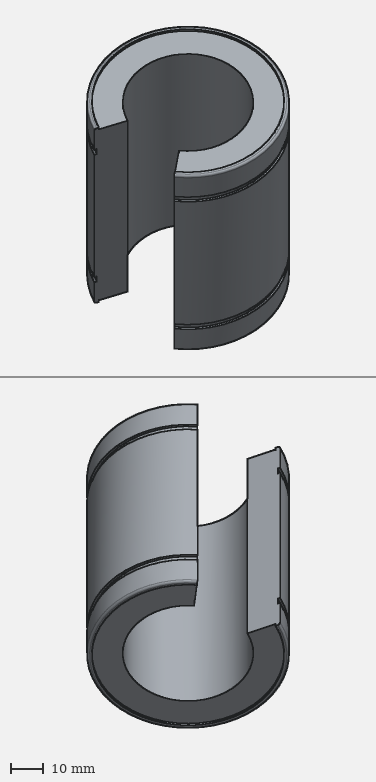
import cadquery as cq

outer_radius = 31.0
bore_radius = 20.0
length = 80.0
opening_angle = 60.0

groove_span = 60.6
groove_width = 2.15
groove_depth = 0.775

rim_fillet = 0.775
rim_width = 2 * rim_fillet
recess_depth = 0.8

half_length = length / 2
groove_radius = outer_radius - groove_depth
groove_offset = (groove_span - groove_width) / 2
recess_radius = outer_radius - rim_width
sleeve_angle = 360.0 - opening_angle
sleeve_start_angle = -90.0 + opening_angle / 2
sector_radius = 2 * outer_radius


def make_tube():
    """Plain closed tube with rounded outer rims."""
    cylinder = cq.Workplane("XY").circle(outer_radius).extrude(half_length, both=True)
    rounded = cylinder.faces("<Z or >Z").edges().fillet(rim_fillet)
    bore = cq.Workplane("XY").circle(bore_radius).extrude(half_length, both=True)
    return rounded.cut(bore)


def make_groove(middle_z):
    """Ring of material to remove for one retaining ring groove."""
    ring = cq.Workplane("XY").circle(outer_radius).circle(groove_radius)
    return ring.extrude(groove_width / 2, both=True).translate((0, 0, middle_z))


def make_end_recess(side):
    """Disc to remove from the upper (side = 1) or lower (side = -1) end face."""
    disc = cq.Workplane("XY").circle(recess_radius).extrude(recess_depth, both=True)
    return disc.translate((0, 0, side * half_length))


def make_sector():
    """Pie-shaped envelope, wider than the sleeve, that omits the opening."""
    half_section = cq.Workplane("XZ").rect(sector_radius, length, centered=(False, True))
    sector = half_section.revolve(sleeve_angle, (0, 0), (0, 1))
    return sector.rotate((0, 0, 0), (0, 0, 1), sleeve_start_angle)


sleeve = make_tube()
for side in (1, -1):
    sleeve = sleeve.cut(make_groove(side * groove_offset))
    sleeve = sleeve.cut(make_end_recess(side))

result = sleeve.intersect(make_sector())